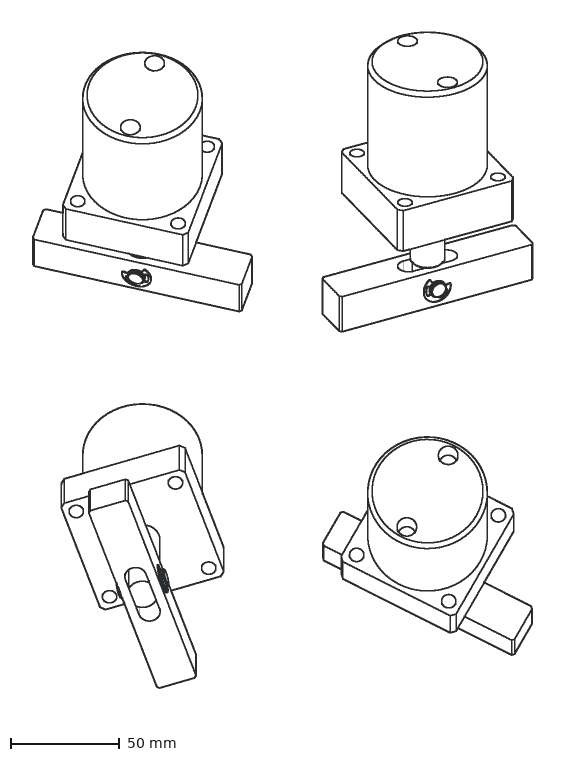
import cadquery as cq
import math


total_height = 127.0
arm_height = 19.0
flange_height = 22.0
barrel_height = 56.0
flange_bottom = total_height - barrel_height - flange_height
flange_top = flange_bottom + flange_height

flange_side = 60.0
flange_corner_chamfer = 2.0
barrel_diameter = 55.0
barrel_chamfer = 2.0
mount_hole_spacing = 48.0
mount_hole_diameter = 6.6
port_spacing = 40.0
port_mouth_diameter = 9.0
port_floor_diameter = 8.0
port_depth = 10.2

rod_diameter = 16.0
rod_chamfer = 1.0
shoulder_gap = 0.4
shoulder_z = arm_height + shoulder_gap
tongue_diameter = rod_diameter - 2 * rod_chamfer

arm_length = 100.0
arm_width = 19.0
arm_corner_chamfer = 1.0
slot_length = 29.6
slot_width = 9.9

pin_z = arm_height / 2
pin_diameter = 8.0
pin_length = 23.0
pin_chamfer = 0.5

clip_thickness = 0.5
clip_outer_diameter = 14.0
groove_diameter = 6.0
clip_mouth_direction = 114.0
clip_mouth_angle = 114.0
clip_tip_fillet = 0.4
relief_diameter = 11.4
relief_angle = 61.0
relief_offset = 65.0
relief_fillet = 0.8


def y_cylinder(diameter, start_y, length):
    """Cylinder on the pin axis that starts at start_y and runs toward +Y."""
    plane = cq.Plane(origin=(0, start_y, pin_z), xDir=(1, 0, 0), normal=(0, 1, 0))
    return cq.Workplane(plane).circle(diameter / 2).extrude(length)


def polar(radius, angle):
    """Point at a radius and an angle in degrees."""
    return (radius * math.cos(math.radians(angle)), radius * math.sin(math.radians(angle)))


def make_housing():
    flange = (
        cq.Workplane("XY", origin=(0, 0, flange_bottom))
        .rect(flange_side, flange_side)
        .extrude(flange_height)
        .edges("|Z")
        .chamfer(flange_corner_chamfer)
    )
    mount_holes = (
        cq.Workplane("XY", origin=(0, 0, flange_bottom))
        .rect(mount_hole_spacing, mount_hole_spacing, forConstruction=True)
        .vertices()
        .circle(mount_hole_diameter / 2)
        .extrude(flange_height)
    )
    barrel = (
        cq.Workplane("XY", origin=(0, 0, flange_top))
        .circle(barrel_diameter / 2)
        .extrude(barrel_height)
        .faces(">Z")
        .chamfer(barrel_chamfer)
    )
    taper = math.degrees(math.atan((port_mouth_diameter - port_floor_diameter) / 2 / port_depth))
    ports = (
        cq.Workplane("XY", origin=(0, 0, total_height))
        .pushPoints([(0, -port_spacing / 2), (0, port_spacing / 2)])
        .circle(port_mouth_diameter / 2)
        .extrude(-port_depth, taper=taper)
    )
    return flange.cut(mount_holes).union(barrel).cut(ports)


def make_rod():
    shaft = (
        cq.Workplane("XY", origin=(0, 0, shoulder_z))
        .circle(rod_diameter / 2)
        .extrude(flange_bottom - shoulder_z)
        .faces("<Z")
        .chamfer(rod_chamfer)
    )
    flats = cq.Workplane("XY").rect(rod_diameter, slot_width).extrude(shoulder_z)
    tongue = cq.Workplane("XY").circle(tongue_diameter / 2).extrude(shoulder_z).intersect(flats)
    return shaft.union(tongue).cut(y_cylinder(pin_diameter, -arm_width / 2, arm_width))


def make_arm():
    bar = (
        cq.Workplane("XY")
        .rect(arm_length, arm_width)
        .extrude(arm_height)
        .edges("|Z")
        .chamfer(arm_corner_chamfer)
    )
    slot = cq.Workplane("XY").slot2D(slot_length, slot_width).extrude(arm_height)
    return bar.cut(slot).cut(y_cylinder(pin_diameter, -arm_width / 2, arm_width))


def make_pin():
    pin = y_cylinder(pin_diameter, -pin_length / 2, pin_length).faces("<Y or >Y").chamfer(pin_chamfer)
    for groove_y in (-arm_width / 2 - clip_thickness, arm_width / 2):
        groove = y_cylinder(pin_diameter, groove_y, clip_thickness)
        groove = groove.cut(y_cylinder(groove_diameter, groove_y, clip_thickness))
        pin = pin.cut(groove)
    return pin


def clip_sector(inner_diameter, outer_diameter, middle, angle):
    """Ring sector as thick as a clip, on the -Y face of the arm, centred on the direction middle."""
    start = middle - angle / 2
    end = middle + angle / 2
    inner = inner_diameter / 2
    outer = outer_diameter / 2
    return (
        cq.Workplane("XZ", origin=(0, -arm_width / 2, pin_z))
        .moveTo(*polar(inner, start))
        .lineTo(*polar(outer, start))
        .threePointArc(polar(outer, middle), polar(outer, end))
        .lineTo(*polar(inner, end))
        .threePointArc(polar(inner, middle), polar(inner, start))
        .close()
        .extrude(clip_thickness)
    )


def make_front_clip():
    """E-shaped clip on the -Y face of the arm, with three prongs that reach the floor of the groove."""
    back_direction = clip_mouth_direction + 180
    clip = (
        clip_sector(groove_diameter, clip_outer_diameter, back_direction, 360 - clip_mouth_angle)
        .edges("|Y")
        .fillet(clip_tip_fillet)
    )
    clip_center = cq.Vector(0, -(arm_width + clip_thickness) / 2, pin_z)
    for offset in (-relief_offset, relief_offset):
        pocket = clip_sector(groove_diameter / 2, relief_diameter, back_direction + offset, relief_angle)
        outer_corners = pocket.edges("|Y").sort(lambda edge: (edge.Center() - clip_center).Length)[2:]
        clip = clip.cut(outer_corners.fillet(relief_fillet))
    return clip


housing = make_housing()
rod = make_rod()
arm = make_arm()
pin = make_pin()
front_clip = make_front_clip()
clips = [front_clip, front_clip.mirror("XZ")]

result = cq.Compound.makeCompound(
    [housing.val(), rod.val(), arm.val(), pin.val(), *[clip.val() for clip in clips]]
)